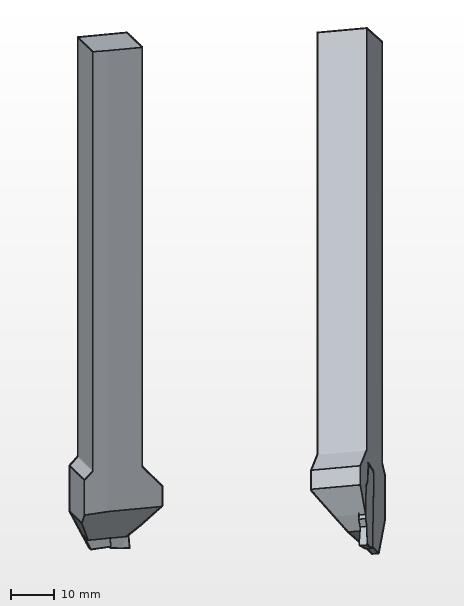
import cadquery as cq
import math

overall_length = 125.0
shank_width = 12.0
shank_depth = 12.0
shank_end_height = 23.0
head_front_offset = 2.0
head_back_offset = 4.9
back_shoulder_height = 17.8
neck_fillet = 0.6
clamp_low_height = 13.2
front_slope_height = 9.9
jaw_tip = (12.9, 7.3)
seat_end = (7.7, 0.85)
blade_toe = (2.75, 0.6)
relief_start_y = 3.5
front_relief = 0.35

blade_thickness = 1.66
blade_height = 4.1
neck_x = 5.1
side_slope_height = 12.9

insert_tip_y = 12.1
insert_tilt = 3.4
insert_length = 20.3
insert_depth = 4.5
end_clearance = 0.77
ridge_height = 1.15
rake_length = 4.6
ridge_start = 6.1
side_overhang = 0.17
flare_length = 3.4
flare_depth = 2.1
corner_bevel = 0.3


def insert_point(depth, along):
    """(Y, Z) of a place on the insert, measured from the lower cutting edge."""
    tilt = math.radians(insert_tilt)
    y = insert_tip_y - along * math.sin(tilt) - depth * math.cos(tilt)
    z = along * math.cos(tilt) - depth * math.sin(tilt)
    return (y, z)


def extrude_along_x(outline, thickness):
    return cq.Workplane("YZ").polyline(outline).close().extrude(thickness)


def pyramid(base, apex):
    """Solid between a planar base polygon and an apex."""
    base_points = [cq.Vector(*point) for point in base]
    apex_point = cq.Vector(*apex)
    following = base_points[1:] + base_points[:1]
    triangles = [[a, b, apex_point] for a, b in zip(base_points, following)]
    faces = [
        cq.Face.makeFromWires(cq.Wire.makePolygon(corners + corners[:1]))
        for corners in [base_points] + triangles
    ]
    return cq.Workplane(cq.Solid.makeSolid(cq.Shell.makeShell(faces)).fix())


def make_insert():
    profile = [
        (0, 0),
        (insert_depth, end_clearance),
        (insert_depth, insert_length - end_clearance),
        (0, insert_length),
        (0, insert_length - rake_length),
        (-ridge_height, insert_length - ridge_start),
        (-ridge_height, ridge_start),
        (0, rake_length),
    ]
    body = extrude_along_x([insert_point(*point) for point in profile], blade_thickness)

    flare = [
        (0, 0),
        (0, flare_length),
        (flare_depth, flare_depth * end_clearance / insert_depth),
    ]
    for upper_end in (False, True):
        corners = [
            insert_point(depth, insert_length - along if upper_end else along)
            for depth, along in flare
        ]
        bevel_along = insert_length - corner_bevel if upper_end else corner_bevel
        for side_x, edge_x in (
            (0, -side_overhang),
            (blade_thickness, blade_thickness + side_overhang),
        ):
            base = [(side_x, y, z) for y, z in corners]
            body = body.union(pyramid(base, (edge_x, *insert_point(0, bevel_along))))
    return body


def make_holder(seated_insert):
    back_y = shank_depth + head_back_offset
    outline = [
        (0, overall_length),
        (shank_depth, overall_length),
        (shank_depth, shank_end_height),
        (back_y, back_shoulder_height),
        (back_y, clamp_low_height),
        jaw_tip,
        seat_end,
        blade_toe,
        (-head_front_offset, front_slope_height),
        (-head_front_offset, shank_end_height - head_front_offset),
        (0, shank_end_height),
    ]
    side_profile = (
        extrude_along_x(outline, shank_width)
        .edges(cq.selectors.BoxSelector(
            (0, -neck_fillet, shank_end_height - neck_fillet),
            (shank_width, shank_depth + neck_fillet, shank_end_height + neck_fillet),
        ))
        .fillet(neck_fillet)
    )

    front_profile = (
        cq.Workplane("XZ", origin=(0, -head_front_offset, 0))
        .polyline([
            (0, 0),
            (blade_thickness, 0),
            (blade_thickness, blade_height),
            (neck_x, blade_height),
            (shank_width, side_slope_height),
            (shank_width, overall_length),
            (0, overall_length),
        ])
        .close()
        .extrude(-(back_y + head_front_offset))
    )

    plan_profile = (
        cq.Workplane("XY")
        .polyline([
            (0, -head_front_offset),
            (shank_width - front_relief, -head_front_offset),
            (shank_width, relief_start_y),
            (shank_width, back_y),
            (0, back_y),
        ])
        .close()
        .extrude(overall_length)
    )
    return side_profile.intersect(front_profile).intersect(plan_profile).cut(seated_insert)


insert = make_insert()
holder = make_holder(insert)

result = cq.Compound.makeCompound([holder.solids().val(), insert.solids().val()])